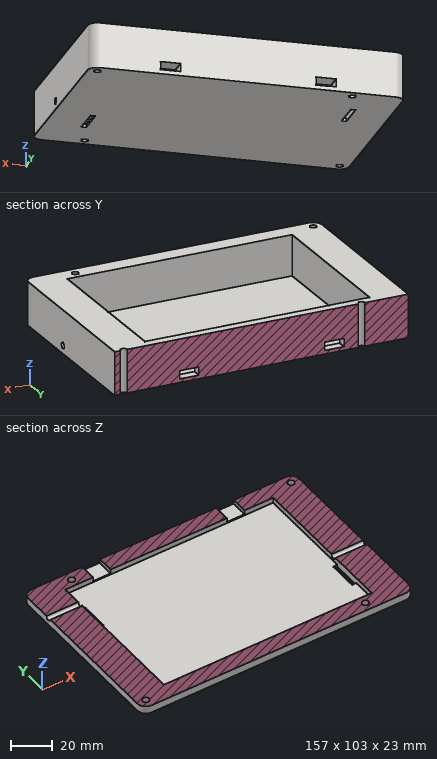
import cadquery as cq

LENGTH = 157.0
WIDTH = 103.0
HEIGHT = 23.0
CORNER_RADIUS = 5.0

POCKET_LENGTH = 120.0
POCKET_WIDTH = 84.0
FLOOR_THICKNESS = 1.5

SCREW_DIAMETER = 3.4
SCREW_Y = 46.5
SCREW_OUTER_X = 73.5
SCREW_INNER_X = 53.5

SLOT_LENGTH = 16.0
SLOT_WIDTH = 2.3
SLOT_CENTRE_Y = 21.0

SIDE_HOLE_DIAMETER = 3.0
SIDE_HOLE_Z = 4.4
LEFT_HOLE_Y = 29.5
RIGHT_HOLE_Y = -9.5

WINDOW_LENGTH = 10.0
WINDOW_HEIGHT = 4.0
WINDOW_SILL = 0.7
LEFT_WINDOW_X = -39.0
RIGHT_WINDOW_X = 38.5

SIDE_WALL = (WIDTH - POCKET_WIDTH) / 2
END_WALL = (LENGTH - POCKET_LENGTH) / 2


def box_from_bottom(length, width, height, centre_x, centre_y, bottom_z):
    """Box centred in X and Y whose underside is at bottom_z."""
    box = cq.Workplane("XY").box(length, width, height, centered=(True, True, False))
    return box.translate((centre_x, centre_y, bottom_z))


def outer_block():
    block = box_from_bottom(LENGTH, WIDTH, HEIGHT, 0, 0, 0)
    return block.edges("|Z").fillet(CORNER_RADIUS)


def pocket():
    return box_from_bottom(POCKET_LENGTH, POCKET_WIDTH, HEIGHT - FLOOR_THICKNESS, 0, 0, FLOOR_THICKNESS)


def screw_holes():
    centres = [
        (SCREW_OUTER_X, SCREW_Y),
        (-SCREW_INNER_X, SCREW_Y),
        (-SCREW_OUTER_X, -SCREW_Y),
        (SCREW_INNER_X, -SCREW_Y),
    ]
    return cq.Workplane("XY").pushPoints(centres).circle(SCREW_DIAMETER / 2).extrude(HEIGHT)


def floor_slot(side):
    """Slot at the -X end (side = -1) or, turned half a revolution, at the +X end (side = 1)."""
    centre_x = side * (POCKET_LENGTH - SLOT_WIDTH) / 2
    return box_from_bottom(SLOT_WIDTH, SLOT_LENGTH, FLOOR_THICKNESS, centre_x, -side * SLOT_CENTRE_Y, 0)


def end_wall_hole(start_x, centre_y):
    """Hole along X, from start_x through one end wall."""
    plane = cq.Workplane("YZ", origin=(start_x, centre_y, SIDE_HOLE_Z))
    return plane.circle(SIDE_HOLE_DIAMETER / 2).extrude(END_WALL)


def side_wall_window(centre_x):
    centre_y = (WIDTH - SIDE_WALL) / 2
    bottom_z = FLOOR_THICKNESS + WINDOW_SILL
    return box_from_bottom(WINDOW_LENGTH, SIDE_WALL, WINDOW_HEIGHT, centre_x, centre_y, bottom_z)


result = outer_block().cut(pocket()).cut(screw_holes())
for side in (-1, 1):
    result = result.cut(floor_slot(side))
for centre_x in (LEFT_WINDOW_X, RIGHT_WINDOW_X):
    result = result.cut(side_wall_window(centre_x))
result = result.cut(end_wall_hole(-LENGTH / 2, LEFT_HOLE_Y))
result = result.cut(end_wall_hole(POCKET_LENGTH / 2, RIGHT_HOLE_Y))